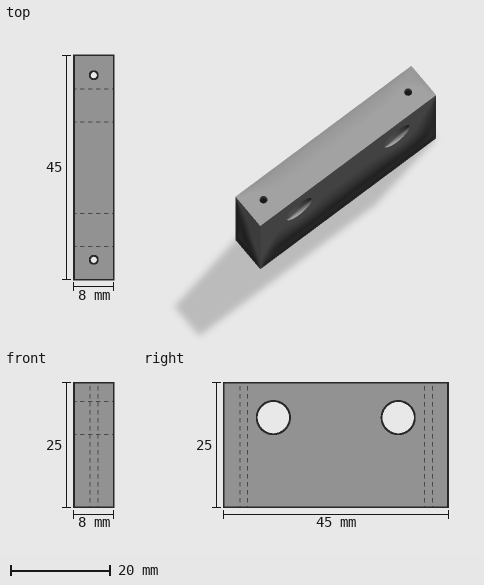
import cadquery as cq

thickness = 8.0
length = 45.0
height = 25.0

cross_hole_diameter = 6.6
cross_hole_end_distance = 10.0
cross_hole_top_distance = 7.0

pin_hole_diameter = 1.58
pin_hole_end_distance = thickness / 2


def mirrored_positions(end_distance):
    """Two points on the local X axis, each end_distance from a block end."""
    offset = length / 2 - end_distance
    return [(-offset, 0), (offset, 0)]


block = cq.Workplane("XY").box(thickness, length, height)

cross_holes = (
    cq.Workplane("YZ", origin=(-thickness / 2, 0, 0))
    .center(0, height / 2 - cross_hole_top_distance)
    .pushPoints(mirrored_positions(cross_hole_end_distance))
    .circle(cross_hole_diameter / 2)
    .extrude(thickness)
)

pin_holes = (
    cq.Workplane(cq.Plane(origin=(0, 0, -height / 2), xDir=(0, 1, 0), normal=(0, 0, 1)))
    .pushPoints(mirrored_positions(pin_hole_end_distance))
    .circle(pin_hole_diameter / 2)
    .extrude(height)
)

result = block.cut(cross_holes).cut(pin_holes)